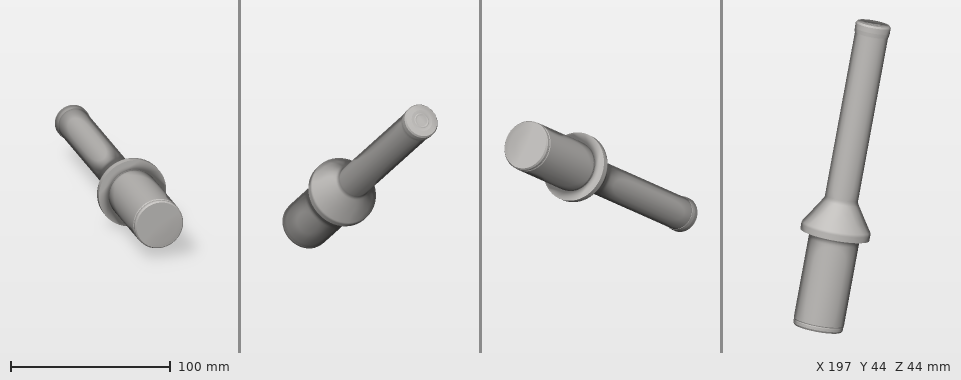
import cadquery as cq
import math

LENGTH = 197.0

TIP_LENGTH = 7.3
TIP_RADIUS = 22.3 / 2
TIP_LAND_END = 4.7
TIP_REAR_RADIUS = 10.8
TIP_CHAMFER_END = 1.4
TIP_CHAMFER_DEPTH = 0.8
FACE_SLOPE_DEPTH = 0.2
CREST_RADIUS = 6.9
VALLEY_RADIUS = 5.0
RIPPLE_RADIUS = 4.3
FLOOR_RADIUS = 3.5

ROD_RADIUS = 21.0 / 2
FLANGE_RADIUS = 44.0 / 2
FLANGE_BACK = 136.7
FLANGE_RIM_LENGTH = 3.7
CONE_ANGLE = math.radians(32.7)
ROOT_FILLET = 4.3
RIM_FILLET = 3.0

SHANK_RADIUS = 32.0 / 2
RELIEF_RADIUS = 31.5 / 2
NECK_LENGTH = 1.2
TAPER_LENGTH = 1.2
GROOVE_RADIUS = 15.5
PILOT_LENGTH = 3.0
END_CHAMFER_LENGTH = 1.2
END_CHAMFER_DEPTH = 0.8


def turn(profile):
    """Close a half profile in the XY plane and revolve it around the X axis."""
    return profile.close().revolve(360, (0, 0, 0), (1, 0, 0))


def point_on_arc(centre, radius, angle):
    """Point at an angle from the +Y direction, turning towards +X."""
    return (centre[0] + radius * math.sin(angle), centre[1] + radius * math.cos(angle))


def make_tip():
    profile = (
        cq.Workplane("XY")
        .moveTo(FACE_SLOPE_DEPTH, 0)
        .lineTo(FACE_SLOPE_DEPTH, FLOOR_RADIUS)
        .lineTo(0, RIPPLE_RADIUS)
        .lineTo(FACE_SLOPE_DEPTH, VALLEY_RADIUS)
        .lineTo(0, CREST_RADIUS)
        .lineTo(FACE_SLOPE_DEPTH, TIP_RADIUS - TIP_CHAMFER_DEPTH)
        .lineTo(TIP_CHAMFER_END, TIP_RADIUS)
        .lineTo(TIP_LAND_END, TIP_RADIUS)
        .lineTo(TIP_LENGTH, TIP_REAR_RADIUS)
        .lineTo(TIP_LENGTH, 0)
    )
    return turn(profile)


def make_holder():
    rim_start = (FLANGE_BACK - FLANGE_RIM_LENGTH, FLANGE_RADIUS)
    rim_centre = (rim_start[0], FLANGE_RADIUS - RIM_FILLET)
    cone_end = point_on_arc(rim_centre, RIM_FILLET, -CONE_ANGLE)
    rim_middle = point_on_arc(rim_centre, RIM_FILLET, -CONE_ANGLE / 2)

    cone_start_radius = ROD_RADIUS + ROOT_FILLET * (1 - math.cos(CONE_ANGLE))
    cone_length = (cone_end[1] - cone_start_radius) / math.tan(CONE_ANGLE)
    cone_start = (cone_end[0] - cone_length, cone_start_radius)
    root_start = (cone_start[0] - ROOT_FILLET * math.sin(CONE_ANGLE), ROD_RADIUS)
    root_centre = (root_start[0], ROD_RADIUS + ROOT_FILLET)
    root_middle = point_on_arc(root_centre, ROOT_FILLET, math.pi - CONE_ANGLE / 2)

    neck_end = FLANGE_BACK + NECK_LENGTH
    pilot_start = LENGTH - PILOT_LENGTH

    profile = (
        cq.Workplane("XY")
        .moveTo(TIP_LENGTH, 0)
        .lineTo(TIP_LENGTH, ROD_RADIUS)
        .lineTo(*root_start)
        .threePointArc(root_middle, cone_start)
        .lineTo(*cone_end)
        .threePointArc(rim_middle, rim_start)
        .lineTo(FLANGE_BACK, FLANGE_RADIUS)
        .lineTo(FLANGE_BACK, RELIEF_RADIUS)
        .lineTo(FLANGE_BACK + NECK_LENGTH / 2, GROOVE_RADIUS)
        .lineTo(neck_end, RELIEF_RADIUS)
        .lineTo(neck_end + TAPER_LENGTH, SHANK_RADIUS)
        .lineTo(pilot_start - TAPER_LENGTH, SHANK_RADIUS)
        .lineTo(pilot_start - TAPER_LENGTH / 2, GROOVE_RADIUS)
        .lineTo(pilot_start, RELIEF_RADIUS)
        .lineTo(LENGTH - END_CHAMFER_LENGTH, RELIEF_RADIUS)
        .lineTo(LENGTH, RELIEF_RADIUS - END_CHAMFER_DEPTH)
        .lineTo(LENGTH, 0)
    )
    return turn(profile)


tip = make_tip()
holder = make_holder()
result = cq.Compound.makeCompound([tip.val(), holder.val()])